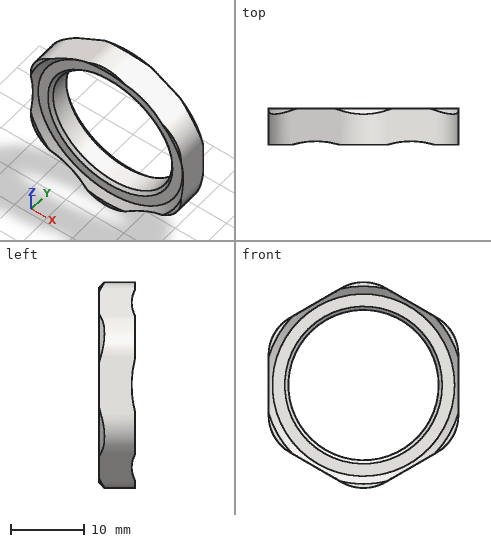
import cadquery as cq

across_flats = 26.0
thickness = 5.0
corner_radius = 6.0
bore_diameter = 20.5
bore_chamfer = 0.5

recess_floor_radius = 12.45
recess_rim_radius = 13.52
recess_depth = 1.0

back_face_radius = 13.3
back_chamfer_height = 0.8
back_chamfer_radius = 14.08

front_y = -thickness / 2
back_y = thickness / 2
floor_y = front_y + recess_depth


def revolve_about_y(points):
    """Revolve a closed (radius, y) outline about the Y axis."""
    return cq.Workplane("XY").polyline(points).close().revolve(360, (0, 0, 0), (0, 1, 0))


def make_hexagon():
    """Hexagonal prism with flats facing +X and -X and rounded corners."""
    body = None
    for angle in (0, 60, 120):
        slab = (
            cq.Workplane("XY")
            .box(across_flats, thickness, 2 * across_flats)
            .rotate((0, 0, 0), (0, 1, 0), angle)
        )
        body = slab if body is None else body.intersect(slab)
    return body.edges("|Y").fillet(corner_radius)


def make_recess():
    """Solid to remove from the front face."""
    return revolve_about_y([
        (0, front_y),
        (recess_rim_radius, front_y),
        (recess_floor_radius, floor_y),
        (0, floor_y),
    ])


def make_bore():
    """Through hole, chamfered at the recess floor and at the back face."""
    radius = bore_diameter / 2
    return revolve_about_y([
        (0, front_y),
        (radius + bore_chamfer, front_y),
        (radius + bore_chamfer, floor_y),
        (radius, floor_y + bore_chamfer),
        (radius, back_y - bore_chamfer),
        (radius + bore_chamfer, back_y),
        (0, back_y),
    ])


def make_back_envelope():
    """Round blank whose tapered end cuts the corners of the +Y face."""
    outer_radius = across_flats
    taper = back_chamfer_height / (back_chamfer_radius - back_face_radius)
    return revolve_about_y([
        (0, front_y),
        (outer_radius, front_y),
        (outer_radius, back_y - taper * (outer_radius - back_face_radius)),
        (back_face_radius, back_y),
        (0, back_y),
    ])


result = make_hexagon().cut(make_recess()).cut(make_bore()).intersect(make_back_envelope())